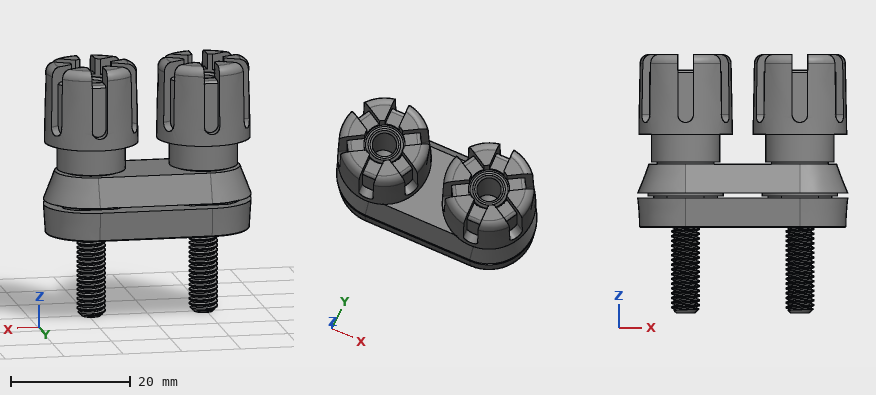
import cadquery as cq


total_height = 43.1
body_length = 35.05
body_width = 16.0
post_spacing = body_length - body_width
post_positions = [(-post_spacing / 2, 0), (post_spacing / 2, 0)]

lower_body_bottom = 14.25
lower_body_top = 19.2
flange_bottom = 19.5
upper_body_bottom = 20.0
upper_body_top = 24.85
neck_bottom = 25.18
cap_bottom = 29.8
slot_end_bottom = 31.77
tube_top = 40.2
slot_floor = 40.5

lower_body_bottom_width = 15.35
lower_edge_chamfer = 0.17
upper_body_top_width = 12.25

flange_diameter = 12.6
key_diameter = 12.35
key_width = 10.7

neck_diameter = 11.42
collar_diameter = 9.53

cap_bottom_diameter = 15.65
cap_top_diameter = 15.15
cap_edge_radius = 1.5
slot_count = 6
slot_width = 2.6
slot_wall_distance = 6.15
slot_edge_width = 0.65
slot_edge_drop = 0.35
slot_edge_radius = (slot_edge_width**2 + slot_edge_drop**2) / (2 * slot_edge_drop)

cap_bore_diameter = 6.85
tube_diameter = 6.35
tube_rim_outer_diameter = 5.45
tube_rim_inner_diameter = 4.8
socket_diameter = 4.05
socket_depth = 12.95
rim_bevel_height = (tube_diameter - tube_rim_outer_diameter) / 2

stud_diameter = 4.7
stud_root_diameter = 3.8
stud_tip_diameter = 3.1
thread_turns = 18
thread_pitch = lower_body_bottom / thread_turns
thread_crest_width = 0.17
thread_root_width = 0.65
thread_overlap = 0.1
thread_start = -0.25


def cylinder(diameter, bottom, top):
    return cq.Workplane("XY").workplane(offset=bottom).circle(diameter / 2).extrude(top - bottom)


def tapered_body(bottom, bottom_width, top, top_width):
    """Round-ended block whose whole wall leans evenly from the bottom to the top outline."""
    return (
        cq.Workplane("XY").workplane(offset=bottom)
        .slot2D(post_spacing + bottom_width, bottom_width)
        .workplane(offset=top - bottom)
        .slot2D(post_spacing + top_width, top_width)
        .loft(ruled=True)
    )


def insulator():
    lower = tapered_body(lower_body_bottom, lower_body_bottom_width, lower_body_top, body_width)
    lower = lower.faces("<Z").edges().chamfer(lower_edge_chamfer)
    upper = tapered_body(upper_body_bottom, body_width, upper_body_top, upper_body_top_width)
    return lower.union(upper)


def flange_and_key():
    """Round flange above a slightly smaller disc with four flats."""
    key = cylinder(key_diameter, lower_body_top, flange_bottom).intersect(
        cq.Workplane("XY").box(key_width, key_width, 2 * total_height)
    )
    return key.union(cylinder(flange_diameter, flange_bottom, upper_body_bottom))


def grip_slot():
    """Cutter for one slot: open channel over the cap top, running down the outer wall to a round end."""
    reach = cap_bottom_diameter
    channel = (
        cq.Workplane("XZ")
        .moveTo(0, slot_floor)
        .lineTo(slot_wall_distance - slot_edge_width, slot_floor)
        .radiusArc((slot_wall_distance, slot_floor - slot_edge_drop), slot_edge_radius)
        .lineTo(slot_wall_distance, slot_end_bottom)
        .lineTo(reach, slot_end_bottom)
        .lineTo(reach, total_height)
        .lineTo(0, total_height)
        .close()
        .extrude(slot_width / 2, both=True)
    )
    round_end = (
        cq.Workplane("YZ")
        .moveTo(-slot_width / 2, total_height)
        .lineTo(-slot_width / 2, slot_end_bottom + slot_width / 2)
        .threePointArc((0, slot_end_bottom), (slot_width / 2, slot_end_bottom + slot_width / 2))
        .lineTo(slot_width / 2, total_height)
        .close()
        .extrude(reach)
    )
    return channel.intersect(round_end)


def cap():
    knob = (
        cq.Workplane("XY").workplane(offset=cap_bottom)
        .circle(cap_bottom_diameter / 2)
        .workplane(offset=total_height - cap_bottom)
        .circle(cap_top_diameter / 2)
        .loft()
        .faces(">Z").edges().fillet(cap_edge_radius)
    )
    slot = grip_slot()
    step = 360 / slot_count
    for i in range(slot_count):
        knob = knob.cut(slot.rotate((0, 0, 0), (0, 0, 1), step / 2 + i * step))
    return knob.cut(cylinder(cap_bore_diameter, tube_top - rim_bevel_height, total_height))


def tube_rim():
    """Bevelled end of the socket tube, standing inside the cap bore."""
    base = tube_top - rim_bevel_height
    return (
        cq.Workplane("XZ")
        .polyline([
            (0, base),
            (tube_diameter / 2, base),
            (tube_rim_outer_diameter / 2, tube_top),
            (0, tube_top),
        ])
        .close()
        .revolve(360, (0, 0), (0, 1))
    )


def socket():
    """Countersunk bore whose floor is a half-round trough along Y."""
    radius = socket_diameter / 2
    bottom = tube_top - socket_depth
    bore = cylinder(socket_diameter, bottom, total_height)
    trough = (
        cq.Workplane("XZ")
        .moveTo(-radius, total_height)
        .lineTo(-radius, bottom + radius)
        .threePointArc((0, bottom), (radius, bottom + radius))
        .lineTo(radius, total_height)
        .close()
        .extrude(radius, both=True)
    )
    bevel = (tube_rim_inner_diameter - socket_diameter) / 2
    countersink = (
        cq.Workplane("XY").workplane(offset=tube_top)
        .circle(tube_rim_inner_diameter / 2)
        .workplane(offset=-bevel)
        .circle(radius)
        .loft()
    )
    return bore.intersect(trough).union(countersink)


def thread_ridge():
    """Helical ridge of trapezoidal section, its foot sunk slightly into the stud core."""
    height = (thread_turns + 1) * thread_pitch
    foot_radius = stud_root_diameter / 2 - thread_overlap
    crest_radius = stud_diameter / 2
    corners = [
        (foot_radius, -thread_root_width / 2),
        (crest_radius, -thread_crest_width / 2),
        (crest_radius, thread_crest_width / 2),
        (foot_radius, thread_root_width / 2),
    ]
    rails = [
        cq.Wire.makeHelix(thread_pitch, height, radius).translate(cq.Vector(0, 0, z))
        for radius, z in corners
    ]
    faces = [cq.Face.makeRuledSurface(rails[i - 1], rails[i]) for i in range(len(rails))]
    for end in (0, height):
        outline = [cq.Vector(radius, 0, z + end) for radius, z in corners]
        faces.append(cq.Face.makeFromWires(cq.Wire.makePolygon(outline, close=True)))
    ridge = cq.Solid.makeSolid(cq.Shell.makeShell(faces))
    return cq.Workplane(ridge).translate((0, 0, thread_start))


def stud():
    """Threaded rod with a bevelled tip; its top end is buried in the lower body."""
    top = lower_body_bottom + 2 * thread_pitch
    envelope_diameter = stud_diameter + thread_overlap
    tip_bevel = (envelope_diameter - stud_tip_diameter) / 2
    envelope = cylinder(envelope_diameter, 0, top).faces("<Z").edges().chamfer(tip_bevel)
    core = cylinder(stud_root_diameter, 0, top).intersect(envelope)
    return core.union(thread_ridge().intersect(envelope))


def post_top():
    """Everything that stands above the upper body at one post."""
    neck = cylinder(neck_diameter, neck_bottom, cap_bottom)
    collar = cylinder(collar_diameter, upper_body_top, neck_bottom)
    return cap().union(neck).union(collar).union(tube_rim()).cut(socket())


result = insulator()
for section in (flange_and_key(), post_top(), stud()):
    for x, y in post_positions:
        result = result.union(section.translate((x, y, 0)))